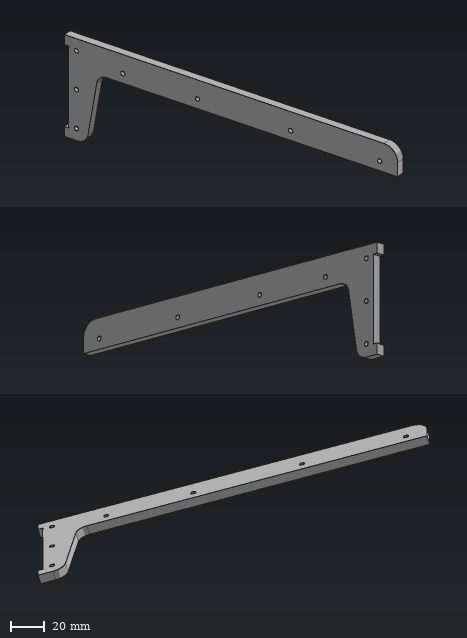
import cadquery as cq

length = 242
thickness = 6.0
height = 70.0

arm_height = 19.8
leg_top_width = 24.7
leg_bottom_width = 16.2
tip_radius = 10.0
inner_corner_radius = 7.0
leg_corner_radius = 8.0

tab_height = 7.0
recess_depth = 3.1

hole_diameter = 3.0
leg_hole_x = 9.0
leg_hole_pitch = 26.5
arm_hole_drop = 13.0
arm_hole_xs = [42.5, 96.8, 164.3, 228.8]

arm_bottom = height - arm_height


def bracket_body():
    """L-shaped plate with rounded tip, inner corner and foot."""
    outline = [
        (0, 0),
        (leg_bottom_width, 0),
        (leg_top_width, arm_bottom),
        (length, arm_bottom),
        (length, height),
        (0, height),
        (0, height - tab_height),
        (recess_depth, height - tab_height),
        (recess_depth, tab_height),
        (0, tab_height),
    ]
    body = cq.Workplane("XZ").polyline(outline).close().extrude(thickness / 2, both=True)
    rounded_corners = [
        (length, height, tip_radius),
        (leg_top_width, arm_bottom, inner_corner_radius),
        (leg_bottom_width, 0, leg_corner_radius),
    ]
    for x, z, radius in rounded_corners:
        corner_edge = cq.selectors.NearestToPointSelector((x, 0, z))
        body = body.edges("|Y").edges(corner_edge).fillet(radius)
    return body


def hole_pins():
    """Cylinders that cut the leg and arm holes through the plate."""
    leg_points = [(leg_hole_x, height / 2 + step * leg_hole_pitch) for step in (-1, 0, 1)]
    arm_points = [(x, height - arm_hole_drop) for x in arm_hole_xs]
    pins = cq.Workplane("XZ").pushPoints(leg_points + arm_points).circle(hole_diameter / 2)
    return pins.extrude(thickness, both=True)


result = bracket_body().cut(hole_pins())